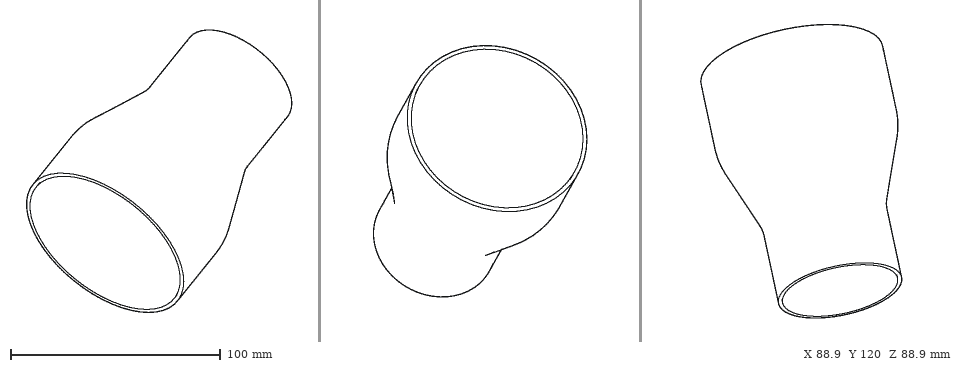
import cadquery as cq
import math

LARGE_DIAMETER = 88.9
SMALL_DIAMETER = 60.3
WALL = 2.0
LENGTH = 120.0

CONE_START = 40.0
CONE_END = 80.0
LARGE_BEND_RADIUS = 30.0
SMALL_BEND_RADIUS = 21.0

large_radius = LARGE_DIAMETER / 2
small_radius = SMALL_DIAMETER / 2
cone_angle = math.atan2(large_radius - small_radius, CONE_END - CONE_START)

large_bend_y = CONE_START - LARGE_BEND_RADIUS * math.tan(cone_angle / 2)
small_bend_y = CONE_END + SMALL_BEND_RADIUS * math.tan(cone_angle / 2)
large_bend_center = (large_radius - LARGE_BEND_RADIUS, large_bend_y)
small_bend_center = (small_radius + SMALL_BEND_RADIUS, small_bend_y)


def large_bend_point(angle, inset):
    """Point on the large bend, turned by angle from its straight end."""
    bend_radius = LARGE_BEND_RADIUS - inset
    center_x, center_y = large_bend_center
    return (
        center_x + bend_radius * math.cos(angle),
        center_y + bend_radius * math.sin(angle),
    )


def small_bend_point(angle, inset):
    """Point on the small bend, turned by angle from its straight end."""
    bend_radius = SMALL_BEND_RADIUS + inset
    center_x, center_y = small_bend_center
    return (
        center_x - bend_radius * math.cos(angle),
        center_y - bend_radius * math.sin(angle),
    )


def reducer_solid(inset):
    """Solid reducer whose surface lies the inset distance inside the outer surface."""
    half_angle = cone_angle / 2
    profile = (
        cq.Workplane("XY")
        .moveTo(0, 0)
        .lineTo(large_radius - inset, 0)
        .lineTo(*large_bend_point(0, inset))
        .threePointArc(large_bend_point(half_angle, inset), large_bend_point(cone_angle, inset))
        .lineTo(*small_bend_point(cone_angle, inset))
        .threePointArc(small_bend_point(half_angle, inset), small_bend_point(0, inset))
        .lineTo(small_radius - inset, LENGTH)
        .lineTo(0, LENGTH)
        .close()
    )
    return profile.revolve(360, (0, 0, 0), (0, 1, 0))


result = reducer_solid(0).cut(reducer_solid(WALL))